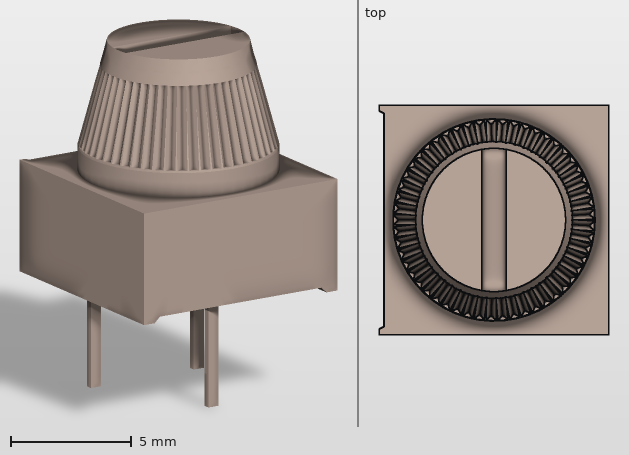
import cadquery as cq
import math


TOTAL_HEIGHT = 15.19
HOUSING_BOTTOM = 4.77
HOUSING_TOP = 9.58
COLLAR_TOP = 10.63
KNURL_BOTTOM = 10.72
KNURL_TOP = 14.13

HOUSING_SIDE = 9.52
HALF_SIDE = HOUSING_SIDE / 2
RIB_HEIGHT = 0.2
RIB_TIP_WIDTH = 0.25
RIB_ROOT_WIDTH = 0.35
CHANNEL_DEPTH = 0.25
RAIL_WIDTH = 0.53

COLLAR_DIAMETER = 8.38
COLLAR_RADIUS = COLLAR_DIAMETER / 2
CONE_ANGLE = 15.0
CONE_SLOPE = math.tan(math.radians(CONE_ANGLE))
KNOB_TOP_RADIUS = COLLAR_RADIUS - CONE_SLOPE * (TOTAL_HEIGHT - COLLAR_TOP)
GROOVE_COUNT = 53
GROOVE_DEPTH = 0.21
GROOVE_OVERSHOOT = 0.08
SLOT_WIDTH = 1.03
SLOT_DEPTH = 0.5

PIN_THICKNESS = 0.3
PIN_WIDTH = 0.5
PIN_PITCH = 2.54
PIN_EMBED = 0.45


def housing():
    """Square block with two ribs on the edges of its -X face and a channel underneath."""
    rib_tip_x = -HALF_SIDE
    face_x = -HALF_SIDE + RIB_HEIGHT
    tip_y = HALF_SIDE - RIB_TIP_WIDTH
    root_y = HALF_SIDE - RIB_ROOT_WIDTH
    block = (
        cq.Workplane("XY", origin=(0, 0, HOUSING_BOTTOM))
        .moveTo(HALF_SIDE, -HALF_SIDE)
        .lineTo(HALF_SIDE, HALF_SIDE)
        .lineTo(rib_tip_x, HALF_SIDE)
        .lineTo(rib_tip_x, tip_y)
        .lineTo(face_x, root_y)
        .lineTo(face_x, -root_y)
        .lineTo(rib_tip_x, -tip_y)
        .lineTo(rib_tip_x, -HALF_SIDE)
        .close()
        .extrude(HOUSING_TOP - HOUSING_BOTTOM)
    )
    mouth_y = HALF_SIDE - RAIL_WIDTH
    roof_y = mouth_y - CHANNEL_DEPTH
    channel = (
        cq.Workplane("YZ", origin=(-HALF_SIDE, 0, HOUSING_BOTTOM))
        .moveTo(-mouth_y, 0)
        .lineTo(mouth_y, 0)
        .lineTo(roof_y, CHANNEL_DEPTH)
        .lineTo(-roof_y, CHANNEL_DEPTH)
        .close()
        .extrude(HOUSING_SIDE)
    )
    return block.cut(channel)


def knob_blank():
    """Cylindrical collar under a truncated cone."""
    return (
        cq.Workplane("XZ")
        .moveTo(0, HOUSING_TOP)
        .lineTo(COLLAR_RADIUS, HOUSING_TOP)
        .lineTo(COLLAR_RADIUS, COLLAR_TOP)
        .lineTo(KNOB_TOP_RADIUS, TOTAL_HEIGHT)
        .lineTo(0, TOTAL_HEIGHT)
        .close()
        .revolve(360, (0, 0, 0), (0, 1, 0))
    )


def groove_section(z):
    """Horizontal V of the groove centred on +X, at height z."""
    cone_radius = COLLAR_RADIUS - CONE_SLOPE * (z - COLLAR_TOP)
    root_x = cone_radius - GROOVE_DEPTH
    mouth_x = cone_radius + GROOVE_OVERSHOOT
    mouth_half_width = mouth_x - root_x
    return cq.Wire.makePolygon(
        [
            cq.Vector(root_x, 0, z),
            cq.Vector(mouth_x, -mouth_half_width, z),
            cq.Vector(mouth_x, mouth_half_width, z),
        ],
        close=True,
    )


def knurl_grooves():
    """V grooves that follow the cone, with a ridge between grooves on +X."""
    groove = cq.Solid.makeLoft([groove_section(KNURL_BOTTOM), groove_section(KNURL_TOP)], True)
    pitch = 360 / GROOVE_COUNT
    axis_start = cq.Vector(0, 0, 0)
    axis_end = cq.Vector(0, 0, 1)
    return [groove.rotate(axis_start, axis_end, (i + 0.5) * pitch) for i in range(GROOVE_COUNT)]


def screwdriver_slot():
    """Slot along Y whose ends follow the rim of the knob's top face."""
    floor = cq.Workplane("XY", origin=(0, 0, TOTAL_HEIGHT - SLOT_DEPTH))
    bar = floor.rect(SLOT_WIDTH, COLLAR_DIAMETER).extrude(SLOT_DEPTH)
    return bar.intersect(floor.circle(KNOB_TOP_RADIUS).extrude(SLOT_DEPTH))


def pins():
    """Three flat pins: the outer two on the -X side, the middle one on the +X side."""
    positions = [(-PIN_PITCH, -PIN_PITCH), (PIN_PITCH, 0), (-PIN_PITCH, PIN_PITCH)]
    return (
        cq.Workplane("XY")
        .pushPoints(positions)
        .rect(PIN_THICKNESS, PIN_WIDTH)
        .extrude(HOUSING_BOTTOM + PIN_EMBED)
    )


knob = cq.Workplane(knob_blank().val().cut(*knurl_grooves()))
knob = knob.cut(screwdriver_slot())

result = housing().union(knob).union(pins())